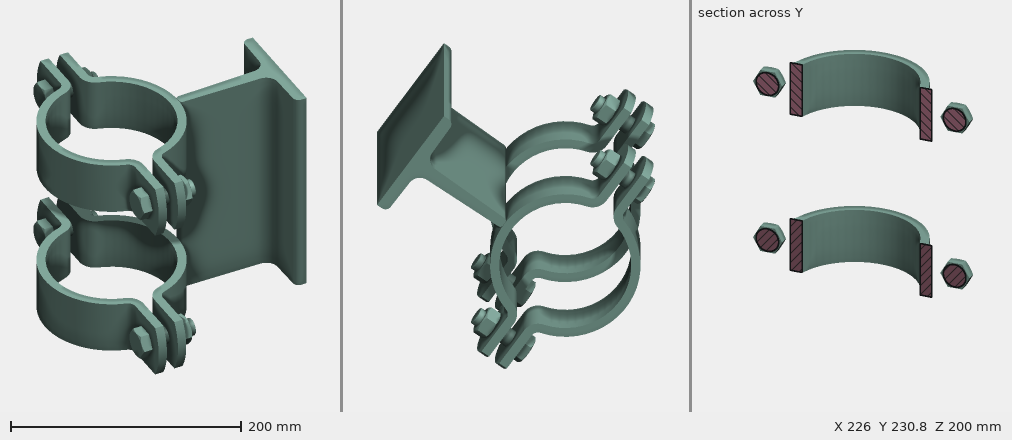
import cadquery as cq
import math

TOTAL_DEPTH = 230.8
BAR_LENGTH = 200.0
EAR_SPAN = 226.0

SECTION_SIZE = BAR_LENGTH / 2
SECTION_THICKNESS = 11.0
SECTION_TAPER = 0.02
ROOT_RADIUS = SECTION_THICKNESS
FLANGE_TIP_RADIUS = ROOT_RADIUS / 2
WEB_TIP_RADIUS = 3.0

STRAP_HEIGHT = BAR_LENGTH / 4
STRAP_THICKNESS = 8.0
STRAP_GAP = 10.8
BEND_RADIUS = 7.0
RING_OUTER_RADIUS = (TOTAL_DEPTH - SECTION_SIZE) / 2
RING_INNER_RADIUS = RING_OUTER_RADIUS - STRAP_THICKNESS
EAR_END_RADIUS = STRAP_HEIGHT
EAR_INNER_Y = STRAP_GAP / 2
EAR_OUTER_Y = EAR_INNER_Y + STRAP_THICKNESS

BOLT_SPACING = 178.1
BOLT_DIAMETER = 16.0
BOLT_END_DIAMETER = 15.0
BOLT_OVERHANG = 5.3
HEX_ACROSS_FLATS = 24.0
HEX_ACROSS_CORNERS = HEX_ACROSS_FLATS / math.cos(math.radians(30))
HEX_CHAMFER_ANGLE = 30
HEAD_HEIGHT = 10.0
HEAD_FACE_DIAMETER = 23.5
COLLAR_DIAMETER = 22.0
COLLAR_HEIGHT = 0.7
NUT_HEIGHT = 13.0
NUT_FACE_DIAMETER = COLLAR_DIAMETER


def make_bar():
    """T-section bar: flange at the back (+Y), web tip touching the strap rings."""
    flange_y = RING_OUTER_RADIUS + SECTION_SIZE
    half_width = SECTION_SIZE / 2
    quarter_width = SECTION_SIZE / 4
    half_web = SECTION_THICKNESS / 2
    half_depth = SECTION_SIZE / 2

    web_tip_x = half_web - SECTION_TAPER * half_depth
    edge_y = flange_y - SECTION_THICKNESS + SECTION_TAPER * (half_width - quarter_width)
    web_rise = half_depth - SECTION_THICKNESS - SECTION_TAPER * quarter_width
    root_x = (half_web + SECTION_TAPER * web_rise) / (1 - SECTION_TAPER**2)
    root_y = flange_y - SECTION_THICKNESS - SECTION_TAPER * (quarter_width - root_x)

    right_side = [
        (web_tip_x, RING_OUTER_RADIUS),
        (root_x, root_y),
        (half_width, edge_y),
        (half_width, flange_y),
    ]
    left_side = [(-x, y) for x, y in reversed(right_side)]
    bar = (
        cq.Workplane("XY")
        .polyline(right_side + left_side)
        .close()
        .extrude(BAR_LENGTH / 2, both=True)
    )
    roundings = [
        ((root_x, root_y), ROOT_RADIUS),
        ((half_width, edge_y), FLANGE_TIP_RADIUS),
        ((web_tip_x, RING_OUTER_RADIUS), WEB_TIP_RADIUS),
    ]
    for (x, y), radius in roundings:
        for side in (1, -1):
            bar = bar.edges(cq.NearestToPointSelector((side * x, y, 0))).fillet(radius)
    return bar


def make_strap_half():
    """Back half of a clamp: half a ring bent out into two ears with rounded ends."""
    ear_x = EAR_SPAN / 2
    bend_y = EAR_OUTER_Y + BEND_RADIUS
    bend_distance = RING_OUTER_RADIUS + BEND_RADIUS
    bend_x = math.sqrt(bend_distance**2 - bend_y**2)
    direction_x = bend_x / bend_distance
    direction_y = bend_y / bend_distance
    inner_x, inner_y = RING_INNER_RADIUS * direction_x, RING_INNER_RADIUS * direction_y
    outer_x, outer_y = RING_OUTER_RADIUS * direction_x, RING_OUTER_RADIUS * direction_y

    strip = (
        cq.Workplane("XY")
        .moveTo(ear_x, EAR_INNER_Y)
        .lineTo(bend_x, EAR_INNER_Y)
        .tangentArcPoint((inner_x, inner_y), relative=False)
        .threePointArc((0, RING_INNER_RADIUS), (-inner_x, inner_y))
        .tangentArcPoint((-bend_x, EAR_INNER_Y), relative=False)
        .lineTo(-ear_x, EAR_INNER_Y)
        .lineTo(-ear_x, EAR_OUTER_Y)
        .lineTo(-bend_x, EAR_OUTER_Y)
        .tangentArcPoint((-outer_x, outer_y), relative=False)
        .threePointArc((0, RING_OUTER_RADIUS), (outer_x, outer_y))
        .tangentArcPoint((bend_x, EAR_OUTER_Y), relative=False)
        .lineTo(ear_x, EAR_OUTER_Y)
        .close()
        .extrude(STRAP_HEIGHT / 2, both=True)
    )

    half_height = STRAP_HEIGHT / 2
    end_rise = EAR_END_RADIUS - math.sqrt(EAR_END_RADIUS**2 - half_height**2)
    corner_x = ear_x - end_rise
    blank = (
        cq.Workplane("XZ")
        .moveTo(-corner_x, -half_height)
        .lineTo(corner_x, -half_height)
        .threePointArc((ear_x, 0), (corner_x, half_height))
        .lineTo(-corner_x, half_height)
        .threePointArc((-ear_x, 0), (-corner_x, -half_height))
        .close()
        .extrude(TOTAL_DEPTH, both=True)
    )
    return strip.intersect(blank)


def make_rod(diameter, start_y, end_y):
    """Round rod along Y."""
    plane = cq.Workplane("XZ", origin=(0, start_y, 0))
    return plane.circle(diameter / 2).extrude(start_y - end_y)


def make_hexagon(start_y, end_y, face_diameter, chamfered_ends):
    """Hexagon along Y whose corners are turned down to a round face at the chosen ends."""
    plane = cq.Workplane("XZ", origin=(0, start_y, 0))
    prism = plane.polygon(6, HEX_ACROSS_CORNERS).extrude(start_y - end_y)
    radial = (HEX_ACROSS_CORNERS - face_diameter) / 2
    axial = radial * math.tan(math.radians(HEX_CHAMFER_ANGLE))
    envelope = make_rod(HEX_ACROSS_CORNERS, start_y, end_y)
    for end in chamfered_ends:
        envelope = envelope.faces(end).chamfer(axial, radial)
    return prism.intersect(envelope)


def make_bolt_with_nut():
    """Bolt along Y, head in front of the ears and nut behind them."""
    head_y = -EAR_OUTER_Y - HEAD_HEIGHT
    collar_y = -EAR_OUTER_Y - COLLAR_HEIGHT
    nut_end_y = EAR_OUTER_Y + NUT_HEIGHT

    end_chamfer = (BOLT_DIAMETER - BOLT_END_DIAMETER) / 2
    shank = make_rod(BOLT_DIAMETER, collar_y, nut_end_y + BOLT_OVERHANG)
    shank = shank.faces(">Y").chamfer(end_chamfer)
    collar = make_rod(COLLAR_DIAMETER, collar_y, -EAR_OUTER_Y)
    head = make_hexagon(head_y, collar_y, HEAD_FACE_DIAMETER, ["<Y"])
    nut = make_hexagon(EAR_OUTER_Y, nut_end_y, NUT_FACE_DIAMETER, ["<Y", ">Y"])
    return head.union(collar).union(shank).union(nut)


def make_clamp():
    """Complete clamp as one solid: two strap halves joined by two bolts with nuts."""
    back_half = make_strap_half()
    clamp = back_half.union(back_half.mirror("XZ"))
    for side in (1, -1):
        bolt = make_bolt_with_nut().translate((side * BOLT_SPACING / 2, 0, 0))
        clamp = clamp.union(bolt)
    return clamp


bar = make_bar()

clamp_height = (BAR_LENGTH - STRAP_HEIGHT) / 2
clamps = []
for level in (clamp_height, -clamp_height):
    clamps.append(make_clamp().translate((0, 0, level)))

result = cq.Compound.makeCompound([bar.solids().val(), *[clamp.solids().val() for clamp in clamps]])